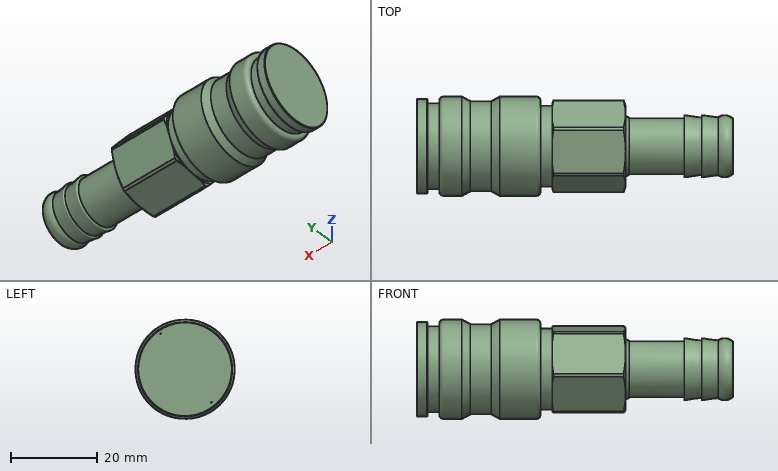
import cadquery as cq
import math

total_length = 73.5

flange_radius = 22 / 2
flange_length = 2.5
flange_front_chamfer = 0.15
flange_rear_chamfer = 0.2
front_neck_radius = 20.05 / 2
rear_neck_radius = 18.95 / 2

hex_start = 31.5
hex_end = 48.5
hex_across_flats = 19
hex_corner_radius = 21.5 / 2
hex_turn = -22.5
hex_cone_angle = math.radians(20)
hex_front_face_radius = 20.05 / 2
hex_rear_face_radius = 18.95 / 2

tail_radius = 13.1 / 2
collar_radius = 14.2 / 2
collar_length = 0.9

barb_radius = 14.5 / 2
barb_rim_round = 0.25
barb_starts = (62.1, 66.15)
barb_ends = (65.6, 70.0)
barb_root_radius = 13.5 / 2
bead_crest = 71.6
bead_end_radius = 12.7 / 2

sleeve_start = 5.15
sleeve_end = 28.75
sleeve_radius = 23.15 / 2
sleeve_front_round = 1.1
sleeve_rear_round = 1.0
groove_radius = 21 / 2
groove_start = 12.45
groove_end = 17.3
groove_slope_length = 2.0
bore_step = (groove_start + groove_end) / 2


def revolve_about_x(profile):
    """Turn a closed half profile, X along and Y outward, about the X axis."""
    return profile.close().revolve(360, (0, 0, 0), (1, 0, 0))


def front_end():
    """Chamfered flange and the stepped shaft that carries the sleeve."""
    profile = (
        cq.Workplane("XY")
        .lineTo(0, flange_radius - flange_front_chamfer)
        .lineTo(flange_front_chamfer, flange_radius)
        .lineTo(flange_length - flange_rear_chamfer, flange_radius)
        .lineTo(flange_length, flange_radius - flange_rear_chamfer)
        .lineTo(flange_length, front_neck_radius)
        .lineTo(bore_step, front_neck_radius)
        .lineTo(bore_step, rear_neck_radius)
        .lineTo(hex_start, rear_neck_radius)
        .lineTo(hex_start, 0)
    )
    return revolve_about_x(profile)


def hexagon():
    """Hexagon with its corners turned round and both ends coned."""
    front_cone = (hex_corner_radius - hex_front_face_radius) * math.tan(hex_cone_angle)
    rear_cone = (hex_corner_radius - hex_rear_face_radius) * math.tan(hex_cone_angle)
    prism = (
        cq.Workplane("YZ", origin=(hex_start, 0, 0))
        .polygon(6, hex_across_flats, circumscribed=True)
        .extrude(hex_end - hex_start)
        .rotate((0, 0, 0), (1, 0, 0), hex_turn)
    )
    turned_limit = revolve_about_x(
        cq.Workplane("XY")
        .moveTo(hex_start, 0)
        .lineTo(hex_start, hex_front_face_radius)
        .lineTo(hex_start + front_cone, hex_corner_radius)
        .lineTo(hex_end - rear_cone, hex_corner_radius)
        .lineTo(hex_end, hex_rear_face_radius)
        .lineTo(hex_end, 0)
    )
    return prism.intersect(turned_limit)


def hose_tail():
    """Hose tail with a coned collar, two round-rimmed barbs and a rounded end bead."""
    profile = (
        cq.Workplane("XY")
        .moveTo(hex_end, 0)
        .lineTo(hex_end, collar_radius)
        .lineTo(hex_end + collar_length, tail_radius)
    )
    root = tail_radius
    for start, end in zip(barb_starts, barb_ends):
        profile = (
            profile.lineTo(start, root)
            .lineTo(start, barb_radius - barb_rim_round)
            .radiusArc((start + barb_rim_round, barb_radius), barb_rim_round)
            .lineTo(end, barb_root_radius)
        )
        root = barb_root_radius
    profile = profile.threePointArc((bead_crest, barb_radius), (total_length, bead_end_radius))
    profile = profile.lineTo(total_length, 0)
    return revolve_about_x(profile)


def build_core():
    """Shaft, hexagon and hose tail joined as one solid."""
    return front_end().union(hexagon()).union(hose_tail())


def build_sleeve():
    """Round-edged grip sleeve with a waisted groove, seated on the stepped shaft."""
    profile = (
        cq.Workplane("XY")
        .moveTo(sleeve_start, front_neck_radius)
        .lineTo(sleeve_start, sleeve_radius - sleeve_front_round)
        .radiusArc((sleeve_start + sleeve_front_round, sleeve_radius), sleeve_front_round)
        .lineTo(groove_start - groove_slope_length, sleeve_radius)
        .lineTo(groove_start, groove_radius)
        .lineTo(groove_end, groove_radius)
        .lineTo(groove_end + groove_slope_length, sleeve_radius)
        .lineTo(sleeve_end - sleeve_rear_round, sleeve_radius)
        .radiusArc((sleeve_end, sleeve_radius - sleeve_rear_round), sleeve_rear_round)
        .lineTo(sleeve_end, rear_neck_radius)
        .lineTo(bore_step, rear_neck_radius)
        .lineTo(bore_step, front_neck_radius)
    )
    return revolve_about_x(profile)


core = build_core()
sleeve = build_sleeve()
result = cq.Compound.makeCompound([core.val(), sleeve.val()])